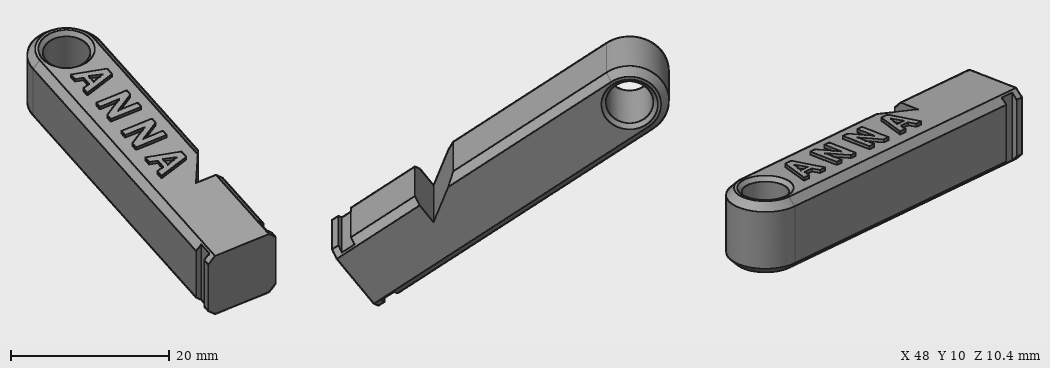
import cadquery as cq

length = 48.0
width = 10.0
height = 10.0
edge_chamfer = 1.0
end_radius = width / 2

hole_diameter = 6.0
hole_chamfer = 0.6

notch_start = 29.0
notch_end = 35.0
notch_depth = 4.0

groove_start = 45.0
groove_end = 47.0
groove_depth = 0.75

letter_height = 4.5
letter_relief = 0.45
letter_a_width = 4.05
letter_n_width = 3.6
n_stroke = 0.9
a_apex_width = 1.2
a_stroke = 1.0
a_bar_bottom = 1.05
a_bar_top = 1.8
a_opening_top = 3.45
a_opening_width = 1.25
n_diagonal_drop = 2.9

name_layout = (("A", 9.8), ("N", 16.0), ("N", 22.2), ("A", 28.0))


def make_body():
    square_end = cq.Workplane("XY").box(
        length - end_radius, width, height, centered=(False, True, False)
    ).translate((end_radius, 0, 0))
    round_end = cq.Workplane("XY").center(end_radius, 0).circle(end_radius).extrude(height)
    body = square_end.union(round_end)
    rim_edges = body.faces("<Z or >Z").edges("not >X")
    return rim_edges.chamfer(edge_chamfer)


def make_hole():
    mouth_radius = hole_diameter / 2 + hole_chamfer
    profile = [
        (0, 0),
        (mouth_radius, 0),
        (hole_diameter / 2, hole_chamfer),
        (hole_diameter / 2, height - hole_chamfer),
        (mouth_radius, height),
        (0, height),
    ]
    hole = cq.Workplane("XZ").polyline(profile).close().revolve(360, (0, 0, 0), (0, 1, 0))
    return hole.translate((end_radius, 0, 0))


def make_notch():
    side = width / 2
    corners = [(notch_start, side), (notch_end, side - notch_depth), (notch_end, side)]
    return cq.Workplane("XY").polyline(corners).close().extrude(height)


def make_groove(side):
    groove_width = groove_end - groove_start
    return (
        cq.Workplane("XY")
        .center((groove_start + groove_end) / 2, side * width / 2)
        .rect(groove_width, 2 * groove_depth)
        .extrude(height)
    )


def extrude_outline(points):
    return cq.Workplane("XY").polyline(points).close().extrude(letter_relief)


def make_letter_a():
    middle = letter_a_width / 2
    half_apex = a_apex_width / 2
    half_opening = a_opening_width / 2
    run_per_rise = (middle - half_apex) / letter_height
    bar_half = middle - a_stroke - run_per_rise * a_bar_bottom
    outline = [
        (0, 0),
        (middle - half_apex, letter_height),
        (middle + half_apex, letter_height),
        (letter_a_width, 0),
        (letter_a_width - a_stroke, 0),
        (middle + bar_half, a_bar_bottom),
        (middle - bar_half, a_bar_bottom),
        (a_stroke, 0),
    ]
    opening = [
        (middle - half_opening, a_bar_top),
        (middle + half_opening, a_bar_top),
        (middle, a_opening_top),
    ]
    return extrude_outline(outline).cut(extrude_outline(opening))


def make_letter_n():
    outline = [
        (0, 0),
        (0, letter_height),
        (n_stroke, letter_height),
        (letter_n_width - n_stroke, letter_height - n_diagonal_drop),
        (letter_n_width - n_stroke, letter_height),
        (letter_n_width, letter_height),
        (letter_n_width, 0),
        (letter_n_width - n_stroke, 0),
        (n_stroke, n_diagonal_drop),
        (n_stroke, 0),
    ]
    return extrude_outline(outline)


result = make_body().cut(make_hole()).cut(make_notch())
for side in (-1, 1):
    result = result.cut(make_groove(side))

letters = {"A": make_letter_a(), "N": make_letter_n()}
for name, start in name_layout:
    result = result.union(letters[name].translate((start, -letter_height / 2, height)))